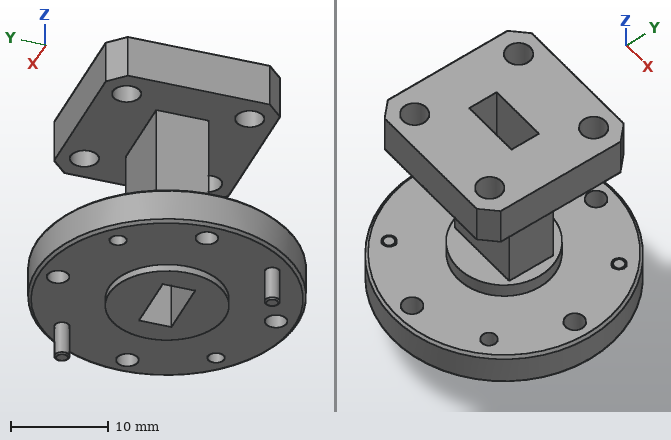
import cadquery as cq
import math

total_height = 28.5
boss_bottom = 3.05
flange_bottom = 3.85
flange_top = 7.95
collar_top = 9.65
plate_thickness = 4.8
plate_bottom = total_height - plate_thickness

flange_diameter = 28.57
flange_chamfer = 0.3
collar_diameter = 11.9
boss_diameter = 12.7
bolt_circle_radius = 11.9
screw_hole_diameter = 2.3
alignment_hole_diameter = 1.77

plate_width = 19.05
plate_corner_chamfer = 1.77
plate_hole_diameter = 3.0
plate_hole_spacing_x = 12.65
plate_hole_spacing_y = 13.45
tube_width = 9.17
tube_depth = 5.7
channel_width = 7.1
channel_depth = 3.55

pin_diameter = 1.57
pin_chamfer = 0.17
quarter_turn = 90
pin_angles = [45, 225]
alignment_hole_angles = [135, 315]
screw_hole_angles = [i * quarter_turn for i in range(4)]


def bolt_circle_point(angle):
    """Point on the flange bolt circle, angle in degrees from +X."""
    turn = math.radians(angle)
    return bolt_circle_radius * math.cos(turn), bolt_circle_radius * math.sin(turn)


def cylinder(diameter, bottom, top, points=((0, 0),)):
    """Vertical cylinders between two heights."""
    return (
        cq.Workplane("XY", origin=(0, 0, bottom))
        .pushPoints(points)
        .circle(diameter / 2)
        .extrude(top - bottom)
    )


def block(width, depth, bottom, top):
    """Centred upright block between two heights."""
    return cq.Workplane("XY", origin=(0, 0, bottom)).rect(width, depth).extrude(top - bottom)


def make_round_flange():
    """Chamfered disc with collar, boss and the bolt circle holes."""
    flange = cylinder(flange_diameter, flange_bottom, flange_top).edges().chamfer(flange_chamfer)
    flange = flange.union(cylinder(collar_diameter, flange_top, collar_top))
    flange = flange.union(cylinder(boss_diameter, boss_bottom, flange_bottom))
    hole_groups = [
        (screw_hole_diameter, screw_hole_angles),
        (alignment_hole_diameter, alignment_hole_angles),
        (pin_diameter, pin_angles),
    ]
    for diameter, angles in hole_groups:
        points = [bolt_circle_point(angle) for angle in angles]
        flange = flange.cut(cylinder(diameter, flange_bottom, flange_top, points))
    return flange


def make_square_plate():
    """Plate with cut corners and four through holes."""
    plate = block(plate_width, plate_width, plate_bottom, total_height)
    plate = plate.edges("|Z").chamfer(plate_corner_chamfer)
    hole_points = [
        (side_x * plate_hole_spacing_x / 2, side_y * plate_hole_spacing_y / 2)
        for side_x in (-1, 1)
        for side_y in (-1, 1)
    ]
    return plate.cut(cylinder(plate_hole_diameter, plate_bottom, total_height, hole_points))


def make_adapter():
    """Round flange, tube and square plate in one piece, with the channel through it."""
    adapter = make_round_flange()
    adapter = adapter.union(block(tube_width, tube_depth, collar_top, plate_bottom))
    adapter = adapter.union(make_square_plate())
    return adapter.cut(block(channel_width, channel_depth, boss_bottom, total_height))


def make_pin(angle):
    """Pin with chamfered ends, flush with the top of the round flange."""
    return cylinder(pin_diameter, 0, flange_top, [bolt_circle_point(angle)]).edges().chamfer(pin_chamfer)


adapter = make_adapter()
pins = [make_pin(angle) for angle in pin_angles]

result = cq.Compound.makeCompound([adapter.val(), *[pin.val() for pin in pins]])